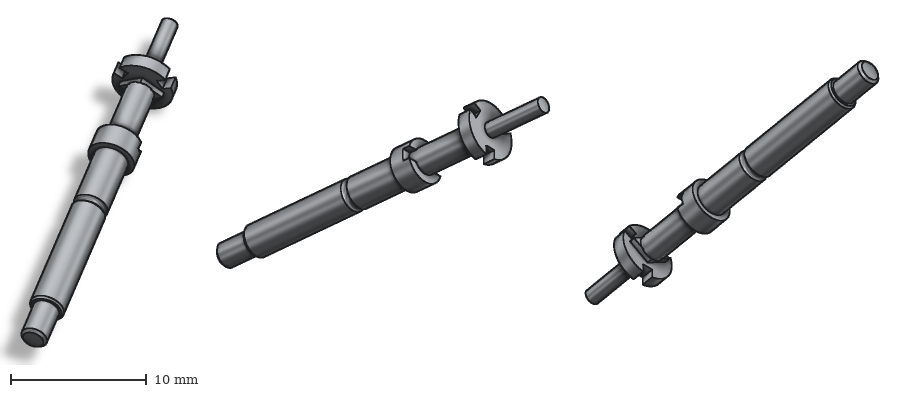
import cadquery as cq

total_length = 31.6

tip_radius = 1.0
tip_length = 3.0
tip_chamfer = 0.22

barrel_radius = 1.33
barrel_end_chamfer_length = 0.2
barrel_end_chamfer_depth = 0.13

groove_center = 13.02
groove_width = 0.57
groove_depth = 0.22

collar_radius = 1.8
collar_start = 18.05
collar_length = 1.83
notch_width = 1.05
notch_depth = 0.6

tube_radius = 1.1
neck_radius = 1.07
neck_length = 0.35

diamond_half_width = 1.7
diamond_half_height = 1.1
diamond_length = 0.47

flange_diameter = 4.7
flange_length = 1.07
slot_count = 3
slot_width = 0.9
slot_floor_distance = 1.55

wire_radius = 0.63
wire_length = 5.25

flange_radius = flange_diameter / 2
flange_end = total_length - wire_length
flange_start = flange_end - flange_length
diamond_start = flange_start - diamond_length
neck_start = diamond_start - neck_length
collar_end = collar_start + collar_length


def cylinder(radius, start, end):
    """Cylinder on the Y axis from start to end."""
    return cq.Workplane("XZ", origin=(0, start, 0)).circle(radius).extrude(start - end)


def make_shaft():
    """Plunger tip, grooved barrel and tapered tube, revolved as one profile."""
    groove_start = groove_center - groove_width / 2
    groove_end = groove_center + groove_width / 2
    profile = (
        cq.Workplane("XY")
        .moveTo(0, 0)
        .lineTo(tip_radius - tip_chamfer, 0)
        .lineTo(tip_radius, tip_chamfer)
        .lineTo(tip_radius, tip_length)
        .lineTo(barrel_radius - barrel_end_chamfer_depth, tip_length)
        .lineTo(barrel_radius, tip_length + barrel_end_chamfer_length)
        .lineTo(barrel_radius, groove_start)
        .threePointArc((barrel_radius - groove_depth, groove_center), (barrel_radius, groove_end))
        .lineTo(barrel_radius, collar_start)
        .lineTo(tube_radius, collar_start)
        .lineTo(tube_radius, neck_start)
        .lineTo(neck_radius, diamond_start)
        .lineTo(0, diamond_start)
        .close()
    )
    return profile.revolve(360, (0, 0, 0), (0, 1, 0))


def make_collar():
    """Collar with a notch in its +Y face on the -X and +X sides."""
    notch = cq.Workplane("XY").box(2 * collar_radius, 2 * notch_depth, notch_width)
    return cylinder(collar_radius, collar_start, collar_end).cut(notch.translate((0, collar_end, 0)))


def make_diamond():
    """Flat diamond block with its long diagonal along X."""
    outline = cq.Workplane("XZ", origin=(0, diamond_start, 0)).polyline(
        [
            (diamond_half_width, 0),
            (0, diamond_half_height),
            (-diamond_half_width, 0),
            (0, -diamond_half_height),
        ]
    )
    return outline.close().extrude(-diamond_length)


def make_flange():
    """Round flange with flat-bottomed slots, the first one pointing down."""
    flange = cylinder(flange_radius, flange_start, flange_end)
    slot_middle = (flange_start + flange_end) / 2
    slot = (
        cq.Workplane("XY")
        .box(slot_width, flange_length, flange_radius)
        .translate((0, slot_middle, -slot_floor_distance - flange_radius / 2))
    )
    for index in range(slot_count):
        flange = flange.cut(slot.rotate((0, 0, 0), (0, 1, 0), index * 360 / slot_count))
    return flange


result = (
    make_collar()
    .union(make_shaft())
    .union(make_diamond())
    .union(make_flange())
    .union(cylinder(wire_radius, flange_end, total_length))
)